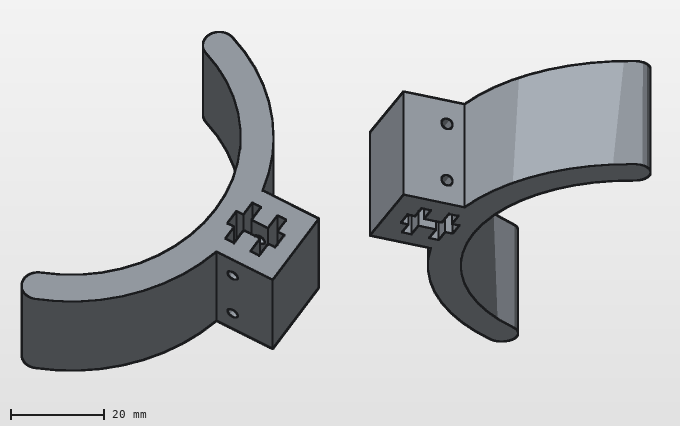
import cadquery as cq
import math

height = 25.4
span = 80.7
wall = 7.0
inner_radius = 36.0
mid_radius = inner_radius + wall / 2
outer_radius = inner_radius + wall
end_angle = math.asin((span - wall) / 2 / mid_radius)

overall_length = 45.25
block_width = 18.8
arm_tip_x = mid_radius * math.cos(end_angle) - wall / 2
block_end_x = arm_tip_x + overall_length
block_start_x = mid_radius

slot_inset = 10.0
slot_center_x = block_end_x - slot_inset
cross_bar_length = 11.9
cross_bar_width = 3.7
bridge_width = 3.15
side_bar_length = 11.0
side_bar_width = 2.2
side_bar_spacing = 6.3
hole_diameter = 2.5
hole_spacing = 13.9


def polar(radius, angle):
    return (radius * math.cos(angle), radius * math.sin(angle))


def box(length, width, center_x):
    """Full-height box centred on the X axis at center_x."""
    return cq.Workplane("XY").center(center_x, 0).rect(length, width).extrude(height)


def make_arm():
    end_x, end_y = polar(mid_radius, end_angle)
    tip_x = end_x - wall / 2 * math.sin(end_angle)
    tip_y = end_y + wall / 2 * math.cos(end_angle)
    return (
        cq.Workplane("XY")
        .moveTo(*polar(outer_radius, -end_angle))
        .threePointArc((outer_radius, 0), polar(outer_radius, end_angle))
        .threePointArc((tip_x, tip_y), polar(inner_radius, end_angle))
        .threePointArc((inner_radius, 0), polar(inner_radius, -end_angle))
        .threePointArc((tip_x, -tip_y), polar(outer_radius, -end_angle))
        .close()
        .extrude(height)
    )


def make_block():
    length = block_end_x - block_start_x
    return box(length, block_width, block_start_x + length / 2)


def make_slots():
    slots = box(side_bar_spacing, bridge_width, slot_center_x)
    for side in (-1, 1):
        bar_x = slot_center_x + side * side_bar_spacing / 2
        slots = slots.union(box(side_bar_width, side_bar_length, bar_x))
        end_length = (cross_bar_length - side_bar_spacing) / 2
        slots = slots.union(box(end_length, cross_bar_width, bar_x + side * end_length / 2))
    return slots


def make_pin_holes():
    offsets = [(slot_center_x, height / 2 + side * hole_spacing / 2) for side in (-1, 1)]
    return (
        cq.Workplane("XZ")
        .pushPoints(offsets)
        .circle(hole_diameter / 2)
        .extrude(block_width, both=True)
    )


result = make_arm().union(make_block()).cut(make_slots()).cut(make_pin_holes())